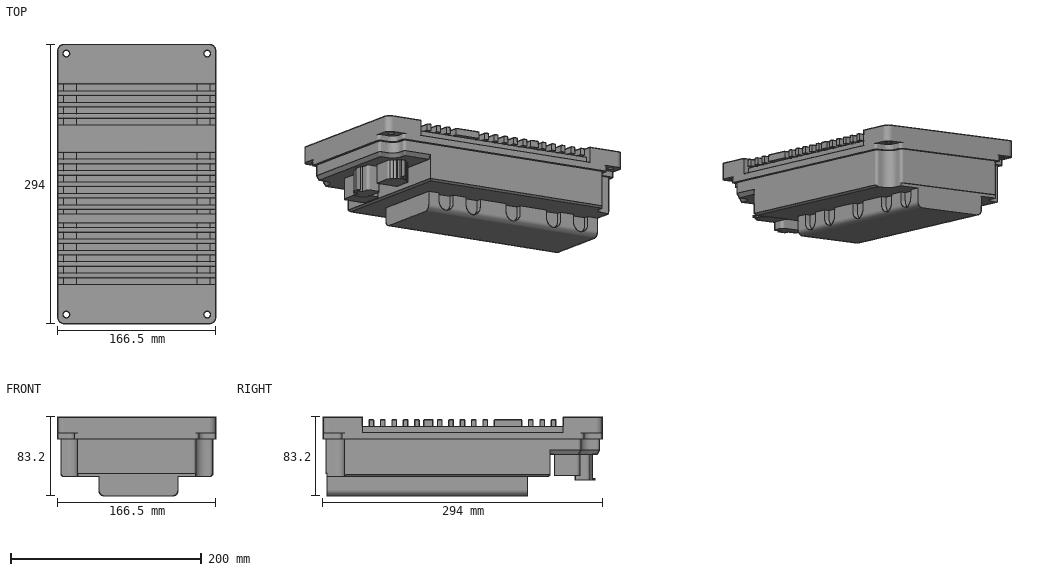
import cadquery as cq
LENGTH = 294.0
WIDTH = 166.5
HEIGHT = 83.2

LID_BOTTOM = 60.0
LID_CORNER_RADIUS = 6.8
LEDGE_Z = 66.8
FIN_BED_Z = 73.5
FIN_TOP = 80.5
END_BLOCK_INNER_Y = 105.5
END_BLOCK_EDGE_FILLET = 1.0
RAIL_OUTER_X = 77.0
RAIL_INNER_X = 63.2
FIN_SPAN = 191.8
FIN_ROW_CENTER_Y = -0.3
FIN_PITCHES = 16
FIN_WIDTH = 5.0
FIN_EDGE_FILLET = 1.2
WIDE_FIN_WIDTHS = {5: 9.7, 12: 29.0}
OMITTED_FINS = (11, 13)

HOLE_DIAMETER = 6.8
HOLE_X = 74.0
HOLE_Y = 137.5
POCKET_CENTER_X = 72.7
POCKET_CENTER_Y = 134.7
POCKET_RADIUS = 10.3
POCKET_LIP = 3.0
LID_POCKET_RADIUS = POCKET_RADIUS - POCKET_LIP
LID_POCKET_TOP = 66.2
POCKET_EDGE_FILLET = 3.0

HOUSING_LENGTH = 288.3
HOUSING_WIDTH = 160.0
HOUSING_BOTTOM = 20.5
HOUSING_EDGE_CHAMFER = 2.0
DECK_START_Y = 92.0
DECK_BOTTOM = 43.8
DECK_BEVEL_TOP = 48.5
DECK_BEVEL_ANGLE = 29.0
END_STEP_TOP = 23.8
END_STEP_DEPTH = 1.2

LOWER_BOX_X_MIN = -40.0
LOWER_BOX_X_MAX = 43.5
LOWER_BOX_Y_MAX = 68.2
LOWER_BOX_Y_MIN = -HOUSING_LENGTH / 2 + END_STEP_DEPTH
LOWER_BOX_FILLET = 6.2
RECESS_CENTERS_Y = (46.5, 12.6, -37.5, -88.0, -121.8)
RECESS_RADIUS = 8.8
RECESS_DEPTH = 6.0
RECESS_BOTTOM = 3.2

RIBBED_CENTER_Y = 113.8
RIBBED_BOTTOM = 23.5
RIBBED_BACK_X = -29.5
RIBBED_STEPS = ((-52.5, 25.0), (-54.5, 21.2), (-56.5, 15.3))
RIBBED_CORNER_FILLET = 2.0
LATCH_GUIDE_X = -58.8
LATCH_GUIDE_WIDTH = 11.0
LATCH_X = -61.2
LATCH_WIDTH = 4.5
LATCH_BOTTOM = 25.3
HOOK_X = -64.0
HOOK_WIDTH = 2.6

CLIP_BOTTOM = 16.8
CLIP_X_MIN = -23.5
CLIP_X_MAX = 6.0
CLIP_Y_MIN = 118.2
CLIP_Y_MAX = 133.8
CLIP_CORNER_FILLET = 3.2
CLIP_RIB_WIDTH = 8.8
CLIP_RIB_Y = 136.5
CLIP_FOOT_Y = 139.5
CLIP_FOOT_HEIGHT = 1.8

ROUNDED_BOTTOM = 21.5
ROUNDED_X_MIN = 11.8
ROUNDED_X_MAX = 41.2
ROUNDED_Y_MIN = 96.5
ROUNDED_Y_MAX = 123.5
ROUNDED_CORNER_FILLET = 3.8


def box(x_min, x_max, y_min, y_max, z_min, z_max):
    size = (x_max - x_min, y_max - y_min, z_max - z_min)
    return cq.Workplane("XY").box(*size, centered=False).translate((x_min, y_min, z_min))


def pocketed_outline(width, length, pocket_radius, z_min, z_max):
    """Rectangular slab with a round-cornered pocket cut from each corner."""
    slab = box(-width / 2, width / 2, -length / 2, length / 2, z_min, z_max)
    wall_x = POCKET_CENTER_X - pocket_radius
    wall_y = POCKET_CENTER_Y - pocket_radius
    for side_x in (-1, 1):
        for side_y in (-1, 1):
            pocket = box(wall_x, WIDTH, wall_y, LENGTH, z_min, z_max)
            pocket = pocket.edges("|Z and <X and <Y").fillet(pocket_radius)
            if side_x < 0:
                pocket = pocket.mirror("YZ")
            if side_y < 0:
                pocket = pocket.mirror("XZ")
            slab = slab.cut(pocket)
    end_edges = slab.faces("<Y or >Y or <X or >X").edges("|Z")
    return end_edges.fillet(POCKET_EDGE_FILLET)


def make_fin(center_y, fin_width):
    fin = box(
        -WIDTH / 2, WIDTH / 2, center_y - fin_width / 2, center_y + fin_width / 2, FIN_BED_Z, FIN_TOP
    )
    return fin.faces(">Z").edges("|X").fillet(FIN_EDGE_FILLET)


def make_lid():
    lid = pocketed_outline(WIDTH, LENGTH, LID_POCKET_RADIUS, LID_BOTTOM, LID_POCKET_TOP)
    top = box(-WIDTH / 2, WIDTH / 2, -LENGTH / 2, LENGTH / 2, LID_POCKET_TOP, HEIGHT)
    top = top.edges("|Z").fillet(LID_CORNER_RADIUS)
    top = top.cut(
        box(-WIDTH / 2, WIDTH / 2, -END_BLOCK_INNER_Y, END_BLOCK_INNER_Y, LEDGE_Z, HEIGHT)
    )
    rear_inner_edge = cq.selectors.NearestToPointSelector((0, END_BLOCK_INNER_Y, HEIGHT))
    top = top.edges(rear_inner_edge).fillet(END_BLOCK_EDGE_FILLET)
    lid = lid.union(top)
    for side in (-1, 1):
        x_min, x_max = sorted((side * RAIL_INNER_X, side * RAIL_OUTER_X))
        lid = lid.union(box(x_min, x_max, -END_BLOCK_INNER_Y, END_BLOCK_INNER_Y, LEDGE_Z, FIN_BED_Z))
    for index in range(FIN_PITCHES + 1):
        if index not in OMITTED_FINS:
            center_y = FIN_ROW_CENTER_Y - FIN_SPAN / 2 + index * FIN_SPAN / FIN_PITCHES
            lid = lid.union(make_fin(center_y, WIDE_FIN_WIDTHS.get(index, FIN_WIDTH)))
    holes = (
        cq.Workplane("XY")
        .rect(2 * HOLE_X, 2 * HOLE_Y, forConstruction=True)
        .vertices()
        .circle(HOLE_DIAMETER / 2)
        .extrude(HEIGHT)
    )
    return lid.cut(holes)


def make_lower_box():
    lower_box = box(
        LOWER_BOX_X_MIN, LOWER_BOX_X_MAX, LOWER_BOX_Y_MIN, LOWER_BOX_Y_MAX, 0, END_STEP_TOP
    )
    lower_box = lower_box.faces("<Z").edges("|Y").fillet(LOWER_BOX_FILLET)
    arc_z = RECESS_BOTTOM + RECESS_RADIUS
    for center_y in RECESS_CENTERS_Y:
        recess = (
            cq.Workplane("YZ", origin=(LOWER_BOX_X_MIN, center_y, 0))
            .moveTo(-RECESS_RADIUS, HOUSING_BOTTOM)
            .lineTo(-RECESS_RADIUS, arc_z)
            .threePointArc((0, RECESS_BOTTOM), (RECESS_RADIUS, arc_z))
            .lineTo(RECESS_RADIUS, HOUSING_BOTTOM)
            .close()
            .extrude(RECESS_DEPTH)
        )
        lower_box = lower_box.cut(recess)
    return lower_box


def make_housing():
    half_width = HOUSING_WIDTH / 2
    half_length = HOUSING_LENGTH / 2
    column = pocketed_outline(
        HOUSING_WIDTH, HOUSING_LENGTH, POCKET_RADIUS, HOUSING_BOTTOM, LID_BOTTOM
    )
    upper = column.intersect(
        box(-half_width, half_width, -half_length, half_length, DECK_BEVEL_TOP, LID_BOTTOM)
    )
    bevel = (
        upper.faces("<Z")
        .wires()
        .toPending()
        .workplane()
        .extrude(DECK_BEVEL_TOP - DECK_BOTTOM, taper=DECK_BEVEL_ANGLE, combine=False)
    )
    deep = box(-half_width, half_width, -half_length, DECK_START_Y, HOUSING_BOTTOM, DECK_BEVEL_TOP)
    deep = deep.faces("<Z").edges("<X or >X or >Y").chamfer(HOUSING_EDGE_CHAMFER)
    deep = deep.cut(
        box(-half_width, half_width, -half_length, LOWER_BOX_Y_MIN, HOUSING_BOTTOM, END_STEP_TOP)
    )
    lower = column.intersect(deep)
    return upper.union(bevel).union(lower).union(make_lower_box())


def ribbed_layer(front_x, width, z_min, z_max):
    """Block centred on the ribbed connector, from its back face to front_x."""
    y_min = RIBBED_CENTER_Y - width / 2
    return box(front_x, RIBBED_BACK_X, y_min, y_min + width, z_min, z_max)


def make_ribbed_connector():
    guide = ribbed_layer(LATCH_GUIDE_X, LATCH_GUIDE_WIDTH, RIBBED_BOTTOM, DECK_BOTTOM)
    latch = ribbed_layer(LATCH_X, LATCH_WIDTH, LATCH_BOTTOM, DECK_BOTTOM)
    hook = ribbed_layer(HOOK_X, HOOK_WIDTH, RIBBED_BOTTOM, LATCH_BOTTOM)
    connector = guide.union(latch).union(hook)
    for front_x, width in RIBBED_STEPS:
        step = ribbed_layer(front_x, width, RIBBED_BOTTOM, DECK_BOTTOM)
        connector = connector.union(step.edges("|Z and <X").fillet(RIBBED_CORNER_FILLET))
    return connector


def make_clip_connector():
    connector = box(CLIP_X_MIN, CLIP_X_MAX, CLIP_Y_MIN, CLIP_Y_MAX, CLIP_BOTTOM, DECK_BOTTOM)
    connector = connector.edges("|Z").fillet(CLIP_CORNER_FILLET)
    center_x = (CLIP_X_MIN + CLIP_X_MAX) / 2
    rib_x = (center_x - CLIP_RIB_WIDTH / 2, center_x + CLIP_RIB_WIDTH / 2)
    rib = box(*rib_x, CLIP_Y_MIN, CLIP_RIB_Y, CLIP_BOTTOM, DECK_BOTTOM)
    foot = box(*rib_x, CLIP_Y_MIN, CLIP_FOOT_Y, CLIP_BOTTOM, CLIP_BOTTOM + CLIP_FOOT_HEIGHT)
    return connector.union(rib).union(foot)


def make_rounded_connector():
    connector = box(
        ROUNDED_X_MIN, ROUNDED_X_MAX, ROUNDED_Y_MIN, ROUNDED_Y_MAX, ROUNDED_BOTTOM, DECK_BOTTOM
    )
    return connector.edges("|Z").fillet(ROUNDED_CORNER_FILLET)


lid = make_lid()
housing = make_housing()
ribbed_connector = make_ribbed_connector()
clip_connector = make_clip_connector()
rounded_connector = make_rounded_connector()

result = cq.Compound.makeCompound(
    [
        lid.val(),
        housing.val(),
        ribbed_connector.val(),
        clip_connector.val(),
        rounded_connector.val(),
    ]
)